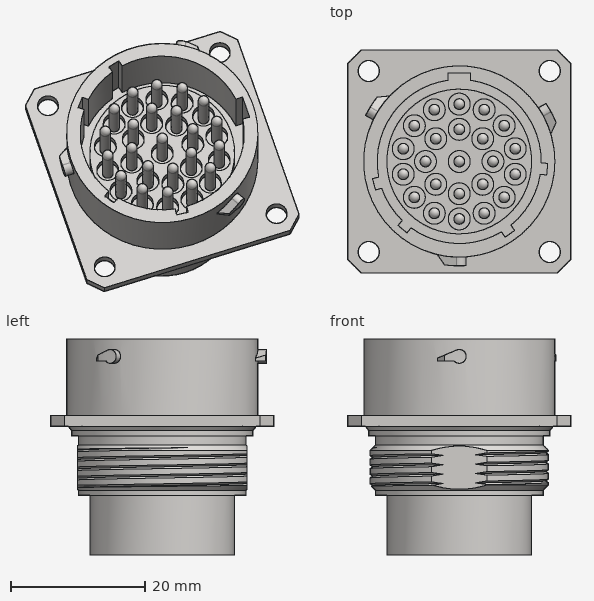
import cadquery as cq
import math


flange_side = 33.3
flange_thick = 1.63
flange_corner = 2.05
mount_pitch = 26.97
mount_dia = 3.1

shell_radius = 14.25
shell_height = 11.4
cavity_radius = 12.22
cavity_depth = shell_height

keyway_radius = 13.15
keyways = [(90, 3.33), (-5, 1.73), (-55, 1.73), (-130, 1.73), (195, 1.73)]

relief_radius = 14.02
collar_radius = 13.52
neck_radius = 12.52
tail_radius = 10.8
relief_bottom_z = -2.25
collar_bottom_z = -3.05
neck_bottom_z = -4.43
thread_bottom_z = -11.15
rim_bottom_z = -11.92
tail_bottom_z = -20.8

thread_radius = 13.32
thread_chamfer = thread_radius - neck_radius
thread_pitch = 1.4
groove_depth = 0.43
groove_width = 0.53
groove_overshoot = 0.33
groove_reference_z = -5.55
flat_offset = 12.65
sleeve_seam_angle = 170

insert_radius = tail_radius
insert_height = 2.73
contact_hole_radius = 1.63
contact_hole_depth = 1.33
pin_radius = 0.8
pin_tip_drop = 1.53
outer_ring_count = 14
outer_ring_radius = 8.55
inner_axis_x = 5.03
inner_axis_y = 4.8
inner_diagonal_x = 3.5
inner_diagonal_y = 3.4

lug_angles = (0, 120, 240)
lug_drop = 2.6
lug_head_radius = 1.03
lug_outer_radius = 15.55
lug_embed = 0.65
lug_root_radius = shell_radius - lug_embed
lug_tip_x = -3.25
lug_tip_outer_x = -2.2
lug_tip_top = -0.25
lug_tip_bottom = -0.65


def cylinder(radius, bottom_z, top_z):
    return cq.Workplane("XY").workplane(offset=bottom_z).circle(radius).extrude(top_z - bottom_z)


def make_flange():
    plate = cq.Workplane("XY").rect(flange_side, flange_side).extrude(-flange_thick)
    plate = plate.edges("|Z").chamfer(flange_corner)
    holes = cq.Workplane("XY").rect(mount_pitch, mount_pitch, forConstruction=True).vertices()
    return plate.cut(holes.circle(mount_dia / 2).extrude(-flange_thick))


def make_rear_body():
    profile = (
        cq.Workplane("XZ")
        .moveTo(0, 0)
        .lineTo(relief_radius, 0)
        .lineTo(relief_radius, -flange_thick)
        .lineTo(collar_radius, relief_bottom_z)
        .lineTo(collar_radius, collar_bottom_z)
        .lineTo(neck_radius, collar_bottom_z)
        .lineTo(neck_radius, rim_bottom_z)
        .lineTo(tail_radius, rim_bottom_z)
        .lineTo(tail_radius, tail_bottom_z)
        .lineTo(0, tail_bottom_z)
        .close()
    )
    return profile.revolve(360, (0, 0, 0), (0, 1, 0))


def make_thread():
    """Chamfered sleeve with a right-hand V groove and two opposite wrench flats."""
    sleeve = cylinder(thread_radius, thread_bottom_z, neck_bottom_z)
    sleeve = sleeve.faces("<Z or >Z").chamfer(thread_chamfer)
    sleeve = sleeve.rotate((0, 0, 0), (0, 0, 1), sleeve_seam_angle)

    turns = math.ceil((neck_bottom_z - thread_bottom_z) / thread_pitch) + 1
    start_z = groove_reference_z - (turns - 1) * thread_pitch
    root_radius = thread_radius - groove_depth
    half_width = groove_width / 2 * (groove_depth + groove_overshoot) / groove_depth
    path = cq.Wire.makeHelix(thread_pitch, turns * thread_pitch, root_radius, cq.Vector(0, 0, start_z))
    groove = (
        cq.Workplane("XZ")
        .moveTo(root_radius, start_z)
        .lineTo(thread_radius + groove_overshoot, start_z + half_width)
        .lineTo(thread_radius + groove_overshoot, start_z - half_width)
        .close()
        .sweep(cq.Workplane(obj=path), isFrenet=True)
    )
    between_flats = (
        cq.Workplane("XY")
        .workplane(offset=thread_bottom_z)
        .rect(2 * thread_radius, 2 * flat_offset)
        .extrude(neck_bottom_z - thread_bottom_z)
    )
    return sleeve.cut(groove).intersect(between_flats)


def make_cavity():
    floor_z = shell_height - cavity_depth
    cavity = cylinder(cavity_radius, floor_z, shell_height)
    for angle, width in keyways:
        slot = (
            cq.Workplane("XY")
            .workplane(offset=floor_z)
            .center(keyway_radius / 2, 0)
            .rect(keyway_radius, width)
            .extrude(cavity_depth)
        )
        cavity = cavity.union(slot.rotate((0, 0, 0), (0, 0, 1), angle))
    return cavity


def contact_points():
    step = 2 * math.pi / outer_ring_count
    points = [(0, 0)]
    for index in range(outer_ring_count):
        angle = index * step
        points.append((outer_ring_radius * math.sin(angle), outer_ring_radius * math.cos(angle)))
    for sign in (-1, 1):
        points.append((sign * inner_axis_x, 0))
        points.append((0, sign * inner_axis_y))
        points.append((sign * inner_diagonal_x, inner_diagonal_y))
        points.append((sign * inner_diagonal_x, -inner_diagonal_y))
    return points


def make_insert():
    """Insulator disc with one recessed, round-tipped pin per contact position."""
    points = contact_points()
    hole_bottom_z = insert_height - contact_hole_depth
    pin_length = shell_height - pin_tip_drop - hole_bottom_z

    disc = cylinder(insert_radius, 0, insert_height)
    holes = cq.Workplane("XY").workplane(offset=hole_bottom_z).pushPoints(points)
    disc = disc.cut(holes.circle(contact_hole_radius).extrude(contact_hole_depth))

    pin_profile = (
        cq.Workplane("XZ")
        .lineTo(pin_radius, 0)
        .lineTo(pin_radius, pin_length - pin_radius)
        .radiusArc((0, pin_length), -pin_radius)
        .close()
    )
    pin = pin_profile.revolve(360, (0, 0, 0), (0, 1, 0))
    for x, y in points:
        disc = disc.union(pin.translate((x, y, hole_bottom_z)))
    return disc


def make_lug():
    """Teardrop lug on the -Y side: round head, tail tapering toward -X."""
    tip_distance = math.hypot(lug_tip_x, lug_tip_top)
    tip_angle = math.atan2(lug_tip_top, lug_tip_x)
    tangent_angle = tip_angle - math.acos(lug_head_radius / tip_distance)
    tangent_x = lug_head_radius * math.cos(tangent_angle)
    tangent_z = lug_head_radius * math.sin(tangent_angle)
    notch_x = -math.sqrt(lug_head_radius**2 - lug_tip_bottom**2)

    outline = (
        cq.Workplane("XZ")
        .moveTo(lug_tip_x, lug_tip_bottom)
        .lineTo(lug_tip_x, lug_tip_top)
        .lineTo(tangent_x, tangent_z)
        .threePointArc((lug_head_radius, 0), (notch_x, lug_tip_bottom))
        .close()
    )
    lug = outline.extrude(lug_outer_radius)
    ring = cylinder(lug_outer_radius, -lug_head_radius, lug_head_radius)
    ring = ring.cut(cylinder(lug_root_radius, -lug_head_radius, lug_head_radius))
    wedge = (
        cq.Workplane("XY")
        .workplane(offset=-lug_head_radius)
        .moveTo(lug_tip_x, -math.sqrt(shell_radius**2 - lug_tip_x**2))
        .lineTo(lug_tip_outer_x, -math.sqrt(lug_outer_radius**2 - lug_tip_outer_x**2))
        .lineTo(lug_tip_outer_x, -lug_outer_radius)
        .lineTo(lug_tip_x, -lug_outer_radius)
        .close()
        .extrude(2 * lug_head_radius)
    )
    return lug.intersect(ring).cut(wedge).translate((0, 0, shell_height - lug_drop))


shell = cylinder(shell_radius, 0, shell_height)
lug = make_lug()
for angle in lug_angles:
    shell = shell.union(lug.rotate((0, 0, 0), (0, 0, 1), angle))
shell = shell.cut(make_cavity())

result = make_rear_body().union(make_flange()).union(make_thread()).union(shell).union(make_insert())